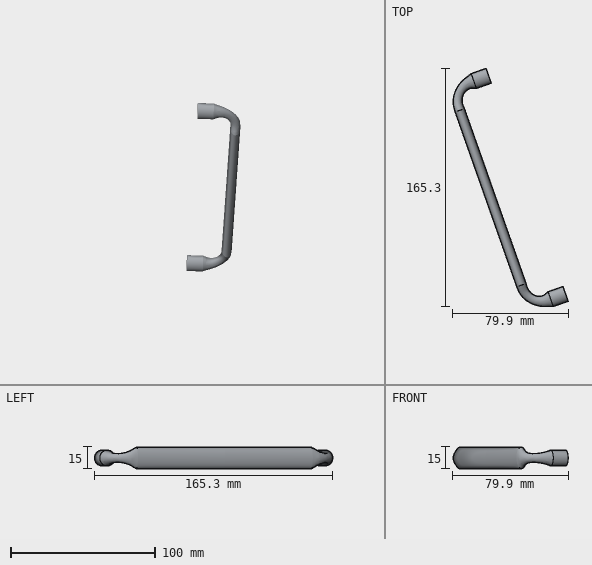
import cadquery as cq
import math

tilt_angle = 19.42

foot_spacing = 160.3
foot_diameter = 11.0
foot_length = 11.0
handle_depth = 30.4

grip_thickness = 7.0
grip_height = 15.0

taper_length = 2.0
neck_diameter = 6.2
grip_taper_thickness = 6.7
grip_taper_height = 13.0
foot_taper_diameter = 9.5

grip_axis_x = grip_thickness / 2
foot_axis_y = foot_spacing / 2
foot_start_x = handle_depth - foot_length
bend_end_x = foot_start_x - taper_length
bend_radius = bend_end_x - grip_axis_x
bend_start_y = foot_axis_y - bend_radius
grip_half_length = bend_start_y - taper_length
bend_stations = 5


def section_plane(x, y, bend_angle):
    """Plane across the handle's centre line, which has turned by bend_angle from +Y towards +X."""
    angle = math.radians(bend_angle)
    return cq.Plane(
        origin=(x, y, 0),
        xDir=(math.cos(angle), -math.sin(angle), 0),
        normal=(math.sin(angle), math.cos(angle), 0),
    )


def section_wire(x, y, bend_angle, thickness, height):
    """Elliptical cross-section of the handle, thickness in the XY plane and height along Z."""
    plane = section_plane(x, y, bend_angle)
    ellipse = cq.Workplane(plane).ellipse(thickness / 2, height / 2)
    return ellipse.wires().val()


def waisted_size(turn, grip_size, foot_size):
    """Size at a fraction of the bend: a parabola on each side of the neck at mid-bend."""
    end_size = grip_size if turn < 0.5 else foot_size
    distance_from_neck = 2 * turn - 1
    return neck_diameter + (end_size - neck_diameter) * distance_from_neck**2


def bend_wire(turn):
    """Cross-section at a fraction of the quarter bend, counted from the grip."""
    bend_angle = 90 * turn
    angle = math.radians(bend_angle)
    return section_wire(
        bend_end_x - bend_radius * math.cos(angle),
        bend_start_y + bend_radius * math.sin(angle),
        bend_angle,
        waisted_size(turn, grip_taper_thickness, foot_taper_diameter),
        waisted_size(turn, grip_taper_height, foot_taper_diameter),
    )


def loft(wires, ruled=False):
    """Solid through the cross-sections, with straight sides if ruled."""
    return cq.Workplane(cq.Solid.makeLoft(wires, ruled))


def make_half_handle():
    """Half of the grip, one elbow and one foot, on the +Y side."""
    grip_middle = section_wire(grip_axis_x, 0, 0, grip_thickness, grip_height)
    grip_end = section_wire(grip_axis_x, grip_half_length, 0, grip_thickness, grip_height)
    foot_start = section_wire(foot_start_x, foot_axis_y, 90, foot_diameter, foot_diameter)
    foot_end = section_wire(handle_depth, foot_axis_y, 90, foot_diameter, foot_diameter)
    bend = [bend_wire(i / (bend_stations - 1)) for i in range(bend_stations)]

    half = loft([grip_middle, grip_end], ruled=True)
    half = half.union(loft([grip_end, bend[0]], ruled=True))
    half = half.union(loft(bend))
    half = half.union(loft([bend[-1], foot_start], ruled=True))
    return half.union(loft([foot_start, foot_end], ruled=True))


half_handle = make_half_handle()
handle = half_handle.union(half_handle.mirror("XZ"))
result = handle.rotate((0, 0, 0), (0, 0, 1), tilt_angle)